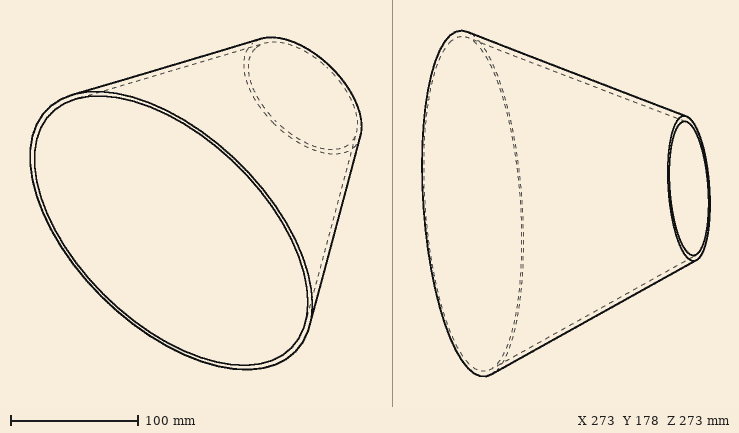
import cadquery as cq

large_diameter = 273.0
small_diameter = 114.5
length = 178.0
radial_wall = 4.5

large_radius = large_diameter / 2
small_radius = small_diameter / 2
wide_end_y = -length / 2
narrow_end_y = length / 2

wall_section = (
    cq.Workplane("XY")
    .moveTo(large_radius - radial_wall, wide_end_y)
    .lineTo(large_radius, wide_end_y)
    .lineTo(small_radius, narrow_end_y)
    .lineTo(small_radius - radial_wall, narrow_end_y)
    .close()
)

result = wall_section.revolve(360, (0, 0, 0), (0, 1, 0))